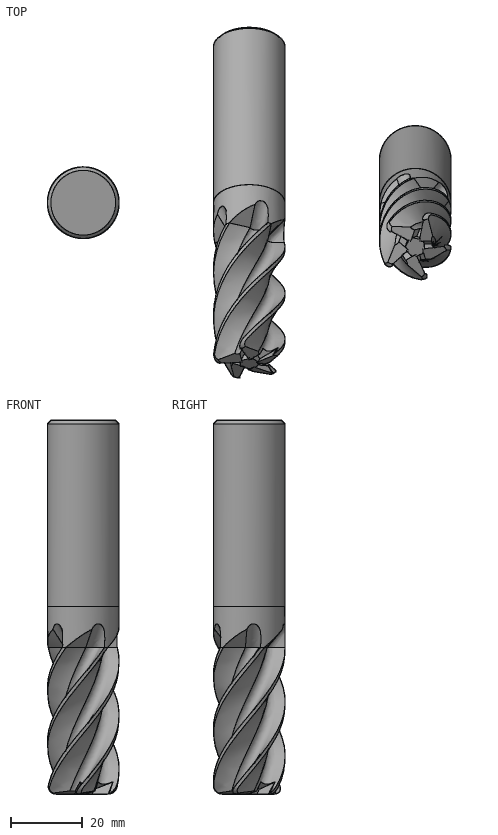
import cadquery as cq
import math

diameter = 20.0
radius = diameter / 2
overall_length = 104.0
cutting_length = 40.8
neck_top = 52.2
neck_radius = 9.95
shank_chamfer = 1.0
corner_radius = 2.5

tooth_count = 5
tooth_pitch = 360 / tooth_count
helix_angle = 40.0
lead = math.pi * diameter / math.tan(math.radians(helix_angle))
first_edge_angle = 38.0
margin_end_radius = 9.9
margin_angle = 7.0
heel_radius = 5.7
heel_angle = 43.0
rake_root_radius = 7.1
rake_root_angle = 4.8

end_relief_angle = 15.0
end_relief_width = 6.0
end_relief_start = 2.0

gash_outer_x = 8.1
gash_face_y = 0.75
gash_outer_depth = 3.4
gash_inner_x = 2.5
gash_rise_angle = 20.0
gash_face_lean = 31.0
gash_roof_width = 1.6
gash_roof_rise = 1.3
gash_back_lean = 30.0
overrun = 1.0

runout_length = 6.5
runout_lift = 5.5
runout_twist = 13.0
lift_direction = -39.0
void_outer_radius = 14.0


def twist(height):
    return 360 * height / lead


def polar(distance, angle):
    return (distance * math.cos(math.radians(angle)), distance * math.sin(math.radians(angle)))


def tooth_section():
    outline = cq.Workplane("XY").moveTo(*polar(radius, first_edge_angle))
    for tooth in range(tooth_count):
        edge = first_edge_angle - tooth * tooth_pitch
        previous = edge - tooth_pitch
        outline = outline.lineTo(*polar(rake_root_radius, edge + rake_root_angle))
        outline = outline.tangentArcPoint(polar(heel_radius, previous + heel_angle), relative=False)
        outline = outline.lineTo(*polar(margin_end_radius, previous + margin_angle))
        outline = outline.lineTo(*polar(radius, previous))
    return outline.close()


def make_end_relief():
    rise = end_relief_width * math.tan(math.radians(end_relief_angle))
    wedge = cq.Workplane("YZ", origin=(end_relief_start, gash_face_y, 0))
    wedge = wedge.polyline([(0, 0), (end_relief_width, rise), (end_relief_width, -overrun), (0, -overrun)])
    return wedge.close().extrude(radius)


def make_gash():
    length = gash_outer_x - gash_inner_x
    rise = length * math.tan(math.radians(gash_rise_angle))
    face_slope = math.tan(math.radians(gash_face_lean))
    back_slope = math.tan(math.radians(gash_back_lean))
    bottom = -overrun
    apex_y = gash_face_y + gash_outer_depth * face_slope
    roof_y = apex_y - gash_roof_width
    roof_z = gash_outer_depth + gash_roof_rise
    section = cq.Workplane("YZ", origin=(gash_outer_x, 0, 0)).polyline([
        (apex_y, gash_outer_depth),
        (gash_face_y + bottom * face_slope, bottom),
        (roof_y - (roof_z - bottom) * back_slope, bottom),
        (roof_y, roof_z),
    ]).close().wires().val()
    run = cq.Vector(-length, -rise * face_slope, -rise)
    return cq.Workplane(cq.Solid.extrudeLinear(section, [], run))


def make_cutting_end():
    fluted = tooth_section().twistExtrude(cutting_length, twist(cutting_length))
    envelope = cq.Workplane("XY").circle(radius).extrude(cutting_length)
    envelope = envelope.faces("<Z").edges().fillet(corner_radius)
    cutting_end = fluted.intersect(envelope)
    for tooth in range(tooth_count):
        edge = first_edge_angle + tooth * tooth_pitch
        for cutter in (make_end_relief(), make_gash()):
            cutting_end = cutting_end.cut(cutter.rotate((0, 0, 0), (0, 0, 1), edge))
    return cutting_end


def void_section(edge, lift, height):
    dx, dy = polar(lift, edge + lift_direction)

    def place(distance, angle):
        x, y = polar(distance, angle)
        return (x + dx, y + dy)

    heel = edge - tooth_pitch + heel_angle
    start = edge - tooth_pitch + margin_angle
    outline = cq.Workplane("XY", origin=(0, 0, height)).moveTo(*place(void_outer_radius, edge))
    outline = outline.lineTo(*place(radius, edge))
    outline = outline.lineTo(*place(rake_root_radius, edge + rake_root_angle))
    outline = outline.tangentArcPoint(place(heel_radius, heel), relative=False)
    outline = outline.lineTo(*place(margin_end_radius, start))
    outline = outline.lineTo(*place(void_outer_radius, start))
    return outline.close().wires().val()


def make_runout(edge):
    low = void_section(edge, 0, cutting_length)
    high = void_section(edge + runout_twist, runout_lift, cutting_length + runout_length)
    return cq.Workplane(cq.Solid.makeLoft([low, high], True))


def make_shank():
    profile = cq.Workplane("YZ").polyline([
        (0, cutting_length),
        (-neck_radius, cutting_length),
        (-neck_radius, neck_top),
        (-radius, neck_top),
        (-radius, overall_length - shank_chamfer),
        (shank_chamfer - radius, overall_length),
        (0, overall_length),
    ]).close()
    shank = profile.revolve(360, (0, 0, 0), (0, 1, 0))
    for tooth in range(tooth_count):
        edge = first_edge_angle + twist(cutting_length) + tooth * tooth_pitch
        shank = shank.cut(make_runout(edge))
    return shank


cutting_end = make_cutting_end()
shank = make_shank()
result = cq.Compound.makeCompound([cutting_end.val(), shank.val()])